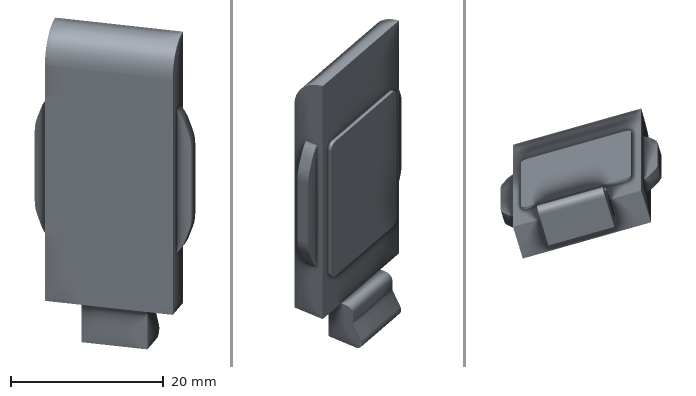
import cadquery as cq
import math

total_height = 44.25

housing_width = 17.5
housing_depth = 4.5
housing_bottom = 6.25
nose_radius = 5.0

wing_span = 21.4
wing_thickness = 1.73
wing_front = 1.85
wing_middle = 24.25
wing_flat_length = 10.0
wing_round_radius = 5.0
wing_slope_angle = math.radians(20.5)
wing_slope_height = 1.5

pad_width = 15.0
pad_height = 22.0
pad_thickness = 0.5
pad_bottom = 12.12
pad_corner_radius = 1.0

hook_width = 9.0
hook_front = 2.52
hook_neck_back = 6.4
hook_tip_back = 7.85
hook_round_radius = 1.0
hook_slope_angle = math.radians(30)


def make_block():
    """Housing block, its top front edge rounded tangent to the front face."""
    nose_start = total_height - math.sqrt(nose_radius**2 - (nose_radius - housing_depth)**2)
    half_turn = math.acos((nose_radius - housing_depth) / nose_radius) / 2
    nose_middle = (
        nose_radius * (1 - math.cos(half_turn)),
        nose_start + nose_radius * math.sin(half_turn),
    )
    return (
        cq.Workplane("YZ")
        .moveTo(0, housing_bottom)
        .lineTo(0, nose_start)
        .threePointArc(nose_middle, (housing_depth, total_height))
        .lineTo(housing_depth, housing_bottom)
        .close()
        .extrude(housing_width / 2, both=True)
    )


def make_wings():
    """Plate through the housing whose ends stand out as wings on both sides."""
    def on_round(center, angle):
        return (
            center[0] + wing_round_radius * math.cos(angle),
            center[1] + wing_round_radius * math.sin(angle),
        )

    side = housing_width / 2
    outer_center = (wing_span / 2 - wing_round_radius, wing_flat_length / 2)
    inner_center = (
        outer_center[0] - wing_slope_height * math.tan(wing_slope_angle),
        outer_center[1] + wing_slope_height,
    )
    side_angle = math.acos((side - inner_center[0]) / wing_round_radius)

    flat_end = on_round(outer_center, 0)
    outer_middle = on_round(outer_center, wing_slope_angle / 2)
    slope_start = on_round(outer_center, wing_slope_angle)
    slope_end = on_round(inner_center, wing_slope_angle)
    inner_middle = on_round(inner_center, (wing_slope_angle + side_angle) / 2)
    side_end = on_round(inner_center, side_angle)

    quarter = (
        cq.Workplane("XZ", origin=(0, wing_front + wing_thickness, wing_middle))
        .lineTo(wing_span / 2, 0)
        .lineTo(*flat_end)
        .threePointArc(outer_middle, slope_start)
        .lineTo(*slope_end)
        .threePointArc(inner_middle, side_end)
        .lineTo(0, side_end[1])
        .close()
        .extrude(wing_thickness)
    )
    half = quarter.union(quarter.mirror("XY", (0, 0, wing_middle)))
    return half.union(half.mirror("YZ"))


def make_pad():
    """Thin pad with rounded corners on the back face."""
    return (
        cq.Workplane("XY")
        .box(pad_width, pad_thickness, pad_height, centered=(True, False, False))
        .edges("|Y")
        .fillet(pad_corner_radius)
        .translate((0, housing_depth, pad_bottom))
    )


def make_housing():
    """Block, wings and pad as one solid."""
    return make_block().union(make_wings()).union(make_pad())


def make_hook():
    """Hook under the housing, sloping back to a rounded tip."""
    tip_center_y = hook_tip_back - hook_round_radius
    slope_y = tip_center_y + hook_round_radius * math.cos(hook_slope_angle)
    slope_z = hook_round_radius * (1 + math.sin(hook_slope_angle))
    neck_z = slope_z + (slope_y - hook_neck_back) / math.tan(hook_slope_angle)
    return (
        cq.Workplane("YZ")
        .moveTo(hook_front, 0)
        .lineTo(tip_center_y, 0)
        .threePointArc((hook_tip_back, hook_round_radius), (slope_y, slope_z))
        .lineTo(hook_neck_back, neck_z)
        .lineTo(hook_neck_back, housing_bottom - hook_round_radius)
        .tangentArcPoint((hook_neck_back - hook_round_radius, housing_bottom), relative=False)
        .lineTo(hook_front, housing_bottom)
        .close()
        .extrude(hook_width / 2, both=True)
    )


housing = make_housing()
hook = make_hook()

result = cq.Compound.makeCompound([housing.val(), hook.val()])